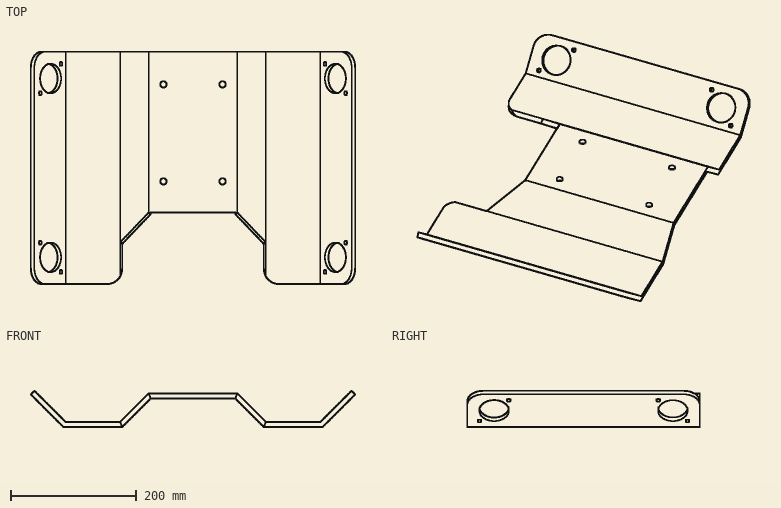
import cadquery as cq
import math

overall_width = 515.5
overall_height = 58.0
depth = 370.0
thickness = 8.0
bend_angle = 45.0

trough_inner_edge = 112.5
platform_height = 53.5

platform_depth = 256.0
notch_slant = 47.5

corner_radius = 25.0
platform_hole_diameter = 10.0
platform_hole_x = 47.0
platform_hole_insets = (52.0, 206.5)
large_hole_diameter = 47.0
large_hole_end_inset = 43.0
large_hole_fold_distance = 33.5
small_hole_diameter = 6.0
small_hole_offset = 23.0

back = depth / 2
front = -depth / 2
diagonal = math.sin(math.radians(bend_angle))
miter = thickness * math.tan(math.radians(bend_angle / 2))
half_width = overall_width / 2
tip_offset = thickness * diagonal
wing_rise = overall_height - tip_offset
trough_outer_edge = half_width - wing_rise
web_top_x = trough_inner_edge + miter - (platform_height - thickness)
platform_front = back - platform_depth

wing_tip_upper = (-half_width + tip_offset, overall_height)
wing_tip_lower = (-half_width, wing_rise)
outer_fold_upper = (-trough_outer_edge + miter, thickness)
outer_fold_lower = (-trough_outer_edge, 0)
inner_fold_upper = (-trough_inner_edge - miter, thickness)
inner_fold_lower = (-trough_inner_edge, 0)
top_fold_upper = (-web_top_x, platform_height)
top_fold_lower = (-web_top_x + miter, platform_height - thickness)


def mirrored_x(point):
    return (-point[0], point[1])


def plate(section, front_y):
    """Extrude an XZ section from front_y to the back edge."""
    return (
        cq.Workplane("XZ", origin=(0, back, 0))
        .polyline(section)
        .close()
        .extrude(back - front_y)
    )


def face_plane(origin_xz, direction):
    """Plane at Y = 0 on a sheet face, with local X along direction and local Y along Y."""
    dx, dz = direction
    return cq.Plane(
        origin=(origin_xz[0], 0, origin_xz[1]),
        xDir=(dx, 0, dz),
        normal=(-dz, 0, dx),
    )


def make_wing():
    """Outer wing with rounded tip corners, two large holes and their screw holes."""
    wing = plate([wing_tip_upper, wing_tip_lower, outer_fold_lower, outer_fold_upper], front)
    tip_edge_direction = cq.Vector(1, 0, 1)
    wing = (
        wing.faces(cq.selectors.DirectionMinMaxSelector(cq.Vector(-1, 0, 1)))
        .edges(cq.selectors.ParallelDirSelector(tip_edge_direction))
        .fillet(corner_radius)
    )
    large_centers = []
    small_centers = []
    for side in (-1, 1):
        x = -large_hole_fold_distance
        y = side * (back - large_hole_end_inset)
        large_centers.append((x, y))
        for shift in (-small_hole_offset, small_hole_offset):
            small_centers.append((x + shift, y + side * shift))
    wing_plane = face_plane(outer_fold_upper, (1, -1))
    for centers, diameter in (
        (large_centers, large_hole_diameter),
        (small_centers, small_hole_diameter),
    ):
        holes = (
            cq.Workplane(wing_plane)
            .pushPoints(centers)
            .circle(diameter / 2)
            .extrude(thickness, both=True)
        )
        wing = wing.cut(holes)
    return wing


def make_trough():
    """Flat trough floor with its free front corner rounded."""
    section = [outer_fold_upper, outer_fold_lower, inner_fold_lower, inner_fold_upper]
    blank = (
        cq.Workplane("XY")
        .moveTo(-trough_outer_edge, back)
        .lineTo(-trough_inner_edge, back)
        .lineTo(-trough_inner_edge, front + corner_radius)
        .radiusArc((-trough_inner_edge - corner_radius, front), corner_radius)
        .lineTo(-trough_outer_edge, front)
        .close()
        .extrude(thickness)
    )
    return plate(section, front).intersect(blank)


def make_web():
    """Sloping web whose front edge slants back, cut square to the sheet."""
    web = plate([inner_fold_upper, inner_fold_lower, top_fold_lower, top_fold_upper], front)
    web_length = (platform_height - thickness) / diagonal
    slope = notch_slant / web_length
    slant_start = platform_front - notch_slant
    overrun = thickness
    waste = (
        cq.Workplane(face_plane(inner_fold_upper, (1, 1)))
        .moveTo(-overrun, slant_start - slope * overrun)
        .lineTo(web_length + overrun, platform_front + slope * overrun)
        .lineTo(web_length + overrun, front - overrun)
        .lineTo(-overrun, front - overrun)
        .close()
        .extrude(2 * thickness, both=True)
    )
    return web.cut(waste)


def make_platform():
    """Raised centre platform with four mounting holes."""
    section = [
        top_fold_upper,
        top_fold_lower,
        mirrored_x(top_fold_lower),
        mirrored_x(top_fold_upper),
    ]
    centers = [
        (side * platform_hole_x, back - inset)
        for side in (-1, 1)
        for inset in platform_hole_insets
    ]
    holes = (
        cq.Workplane("XY")
        .pushPoints(centers)
        .circle(platform_hole_diameter / 2)
        .extrude(overall_height)
    )
    return plate(section, platform_front).cut(holes)


left_side = make_wing().union(make_trough()).union(make_web())
result = make_platform().union(left_side).union(left_side.mirror("YZ"))